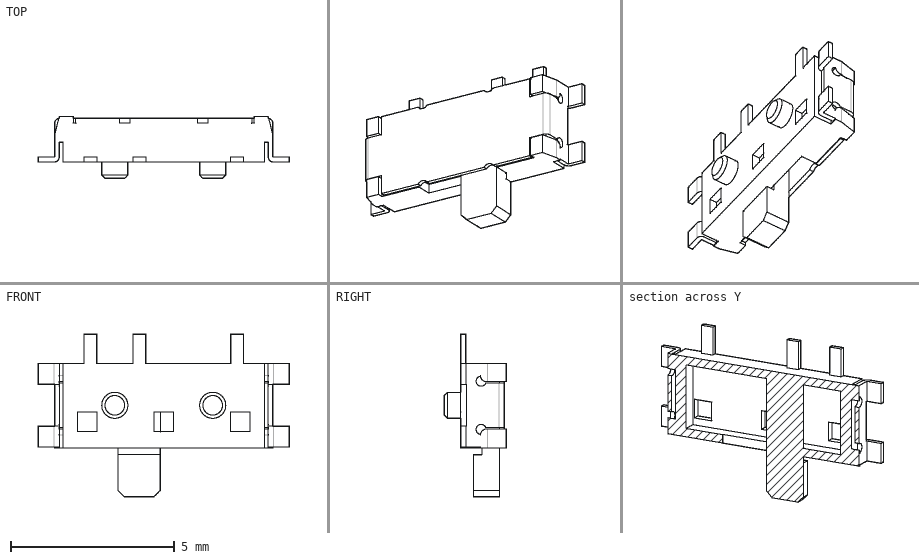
import cadquery as cq
import math


body_half_width = 3.095
body_back = 1.2
body_height = 2.6

sheet = 0.15
cover_half_width = 3.35
cover_inner = cover_half_width - sheet
cover_back = body_back + sheet
cover_height = 2.57
cover_bend = 0.16
mid_z = body_height - cover_height / 2
cover_bottom = body_height - cover_height
end_front = 0.185

foot_reach = 3.85
foot_height = 0.65
foot_thickness = 0.16

lug_front = 0.61
lug_back = 1.4
lug_inner = 2.77
lug_slant_front = 0.825
lug_edge = 0.72
lug_round = 0.19
cutout_edge = 0.685
cutout_inner = 2.7
relief_radius = 0.155
relief_y = 0.63
relief_offset = 0.74

notch_x = 1.2
notch_width = 0.32
notch_radius = 0.2

peg_diameter = 0.8
peg_length = 0.5
peg_chamfer = 0.1
peg_x = 1.5

lead_centres = (-2.25, -0.75, 2.25)
lead_width = 0.4
lead_thickness = 0.16
lead_length = 0.9

window_centres = (-2.35, 0, 2.35)
window_size = 0.6
window_bottom = 0.51

cavity_half_width = 2.695
cavity_wall = 0.285
front_wall = 0.25
slot_half_width = 1.42

knob_centre = -0.755
knob_width = 1.3
knob_front = 0.39
knob_length = 1.49
knob_chamfer = 0.2
neck_front = 0.655
neck_length = 0.19


def block(x0, x1, y0, y1, z0, z1):
    """Box between two opposite corners."""
    return cq.Workplane("XY").box(x1 - x0, y1 - y0, z1 - z0, centered=False).translate((x0, y0, z0))


def both_ends(shape):
    """The shape together with its mirror image at the other end of the part."""
    return shape.union(shape.mirror("YZ"))


def top_and_bottom(shape):
    """The shape together with its mirror image about the middle height of the cover."""
    return shape.union(shape.mirror("XY", (0, 0, mid_z)))


def make_lugs():
    """Corner lugs, with slanted sides and one rounded inner corner; lower ones reach the bottom."""
    outline = [
        (0, lug_front),
        (cover_half_width, lug_front),
        (cover_half_width, lug_slant_front),
        (cover_inner, lug_back),
        (lug_inner, lug_back),
        (lug_inner, body_back),
        (0, body_back),
    ]

    def lug_pair(bottom, top):
        """Lugs at both ends between two heights."""
        base = cq.Workplane("XY").workplane(offset=bottom)
        return both_ends(base.polyline(outline).close().extrude(top - bottom))

    def corner(edge_z, direction):
        """Material outside the rounded inner corner of a lug."""
        middle = lug_round * (1 - math.sqrt(0.5))
        return both_ends(
            cq.Workplane("YZ")
            .workplane(offset=body_half_width)
            .moveTo(lug_front, edge_z)
            .lineTo(lug_front, edge_z + direction * lug_round)
            .threePointArc(
                (lug_front + middle, edge_z + direction * middle),
                (lug_front + lug_round, edge_z),
            )
            .close()
            .extrude(cover_half_width - body_half_width)
        )

    lower_edge = mid_z - lug_edge
    upper_edge = mid_z + lug_edge
    lugs = lug_pair(0, lower_edge).union(lug_pair(upper_edge, body_height))
    return lugs.cut(corner(lower_edge, -1)).cut(corner(upper_edge, 1))


def make_body():
    """Hollow body with lugs, closed at the back by the cover."""
    body = block(-body_half_width, body_half_width, 0, body_back, 0, body_height).union(make_lugs())
    cavity_top = body_height - cavity_wall
    body = body.cut(
        block(-cavity_half_width, cavity_half_width, front_wall, body_back, cavity_wall, cavity_top)
    )
    body = body.cut(block(-slot_half_width, slot_half_width, neck_front, body_back, 0, cavity_wall))
    half = window_size / 2
    for x in window_centres:
        body = body.cut(block(x - half, x + half, 0, front_wall, window_bottom, window_bottom + window_size))
    return body


def make_cover():
    """Sheet folded around the back and the ends, with cutouts for the lugs."""
    outer = block(
        -cover_half_width, cover_half_width, end_front, cover_back, cover_bottom, body_height
    ).edges("|Z and >Y").fillet(cover_bend)
    cover = outer.cut(block(-cover_inner, cover_inner, 0, body_back, 0, body_height))

    cutout = block(
        cutout_inner, cover_half_width, lug_front, cover_back, mid_z + cutout_edge, body_height
    )
    relief = (
        cq.Workplane("YZ")
        .workplane(offset=cover_inner)
        .center(relief_y, mid_z + relief_offset)
        .circle(relief_radius)
        .extrude(sheet)
    )
    cover = cover.cut(top_and_bottom(both_ends(cutout.union(relief))))

    notch_rise = math.sqrt(notch_radius**2 - (notch_width / 2) ** 2)
    notch = (
        cq.Workplane("XZ")
        .center(notch_x, body_height + notch_rise)
        .circle(notch_radius)
        .extrude(-sheet)
        .translate((0, body_back, 0))
    )
    return cover.cut(top_and_bottom(both_ends(notch)))


def make_feet():
    """Four feet, each bent outward from the front edge of a cover end."""
    foot = (
        cq.Workplane("XY")
        .workplane(offset=body_height - foot_height)
        .moveTo(cover_inner, end_front)
        .lineTo(cover_inner, foot_thickness)
        .radiusArc((cover_inner + foot_thickness, 0), -foot_thickness)
        .lineTo(foot_reach, 0)
        .lineTo(foot_reach, foot_thickness)
        .lineTo(cover_half_width, foot_thickness)
        .lineTo(cover_half_width, end_front)
        .close()
        .extrude(foot_height)
    )
    return top_and_bottom(both_ends(foot))


def make_pegs():
    """Two chamfered locating pegs on the front face."""
    peg = (
        cq.Workplane("XZ")
        .center(peg_x, mid_z)
        .circle(peg_diameter / 2)
        .extrude(peg_length)
        .faces("<Y")
        .chamfer(peg_chamfer)
    )
    return both_ends(peg)


def make_lead(x):
    """Flat lead standing on top of the body, flush with its front face."""
    half = lead_width / 2
    return block(x - half, x + half, 0, lead_thickness, body_height, body_height + lead_length)


def make_knob():
    """Knob below the body, with a thinner neck that runs up through the cavity."""
    left = knob_centre - knob_width / 2
    right = knob_centre + knob_width / 2
    grip = block(left, right, knob_front, body_back, -knob_length, -neck_length)
    grip = grip.faces("<Z").edges("|Y").chamfer(knob_chamfer)
    neck = block(left, right, neck_front, body_back, -neck_length, body_height - cavity_wall)
    return grip.union(neck)


result = make_body().union(make_cover()).union(make_feet()).union(make_pegs()).union(make_knob())
for lead_x in lead_centres:
    result = result.union(make_lead(lead_x))